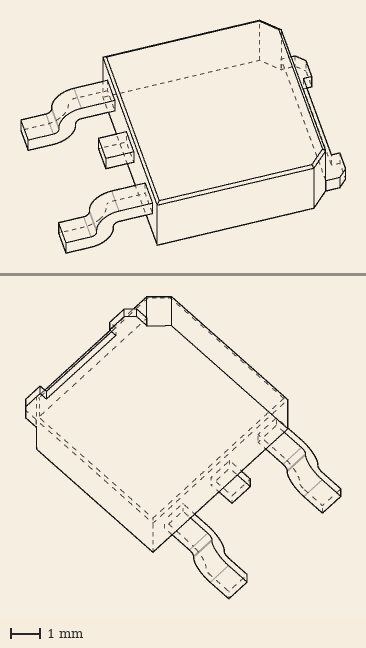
import cadquery as cq

body_width = 6.6
body_length = 6.2
body_height = 2.4
corner_cut = 0.6
top_chamfer = 0.1

tab_width = 5.42
tab_length = 0.8
tab_corner_cut = 0.3
notch_width = 3.4
notch_depth = 0.3

metal_thickness = 0.6
lead_width = 0.9
lead_pitch = 4.58
lead_reach = 3.1
lead_top = 1.7
bend_start = 1.2
inner_radius = 0.2
stub_reach = 1.0

outer_radius = inner_radius + metal_thickness
lead_bottom = lead_top - metal_thickness


def make_body():
    """Block with its two rear vertical corners cut and its top edge chamfered."""
    half_width = body_width / 2
    outline = [
        (-half_width, 0),
        (half_width, 0),
        (half_width, body_length - corner_cut),
        (half_width - corner_cut, body_length),
        (-half_width + corner_cut, body_length),
        (-half_width, body_length - corner_cut),
    ]
    block = cq.Workplane("XY").polyline(outline).close().extrude(body_height)
    return block.faces(">Z").edges().chamfer(top_chamfer)


def make_tab():
    """Flat tab on the underside plane, with cut rear corners and a rear notch."""
    tab_end = body_length + tab_length
    plate = (
        cq.Workplane("XY")
        .box(tab_width, tab_length, metal_thickness, centered=(True, False, False))
        .translate((0, body_length, 0))
        .edges("|Z and >Y")
        .chamfer(tab_corner_cut)
    )
    notch = (
        cq.Workplane("XY")
        .box(notch_width, notch_depth, metal_thickness, centered=(True, False, False))
        .translate((0, tab_end - notch_depth, 0))
    )
    return plate.cut(notch)


def make_lead(x_center):
    """Gull-wing lead: out of the body, down through two bends, then a flat foot."""
    riser_back = -(bend_start + inner_radius)
    riser_front = riser_back - metal_thickness
    foot_bend_end = riser_front - inner_radius
    profile = (
        cq.Workplane("YZ", origin=(x_center - lead_width / 2, 0, 0))
        .moveTo(0, lead_top)
        .lineTo(-bend_start, lead_top)
        .radiusArc((riser_front, lead_top - outer_radius), -outer_radius)
        .lineTo(riser_front, outer_radius)
        .radiusArc((foot_bend_end, metal_thickness), inner_radius)
        .lineTo(-lead_reach, metal_thickness)
        .lineTo(-lead_reach, 0)
        .lineTo(foot_bend_end, 0)
        .radiusArc((riser_back, outer_radius), -outer_radius)
        .lineTo(riser_back, lead_bottom - inner_radius)
        .radiusArc((-bend_start, lead_bottom), inner_radius)
        .lineTo(0, lead_bottom)
        .close()
    )
    return profile.extrude(lead_width)


def make_stub():
    """Short cropped middle lead."""
    return (
        cq.Workplane("XY")
        .box(lead_width, stub_reach, metal_thickness, centered=(True, False, False))
        .translate((0, -stub_reach, lead_bottom))
    )


result = make_body().union(make_tab()).union(make_stub())
for side in (-1, 1):
    result = result.union(make_lead(side * lead_pitch / 2))